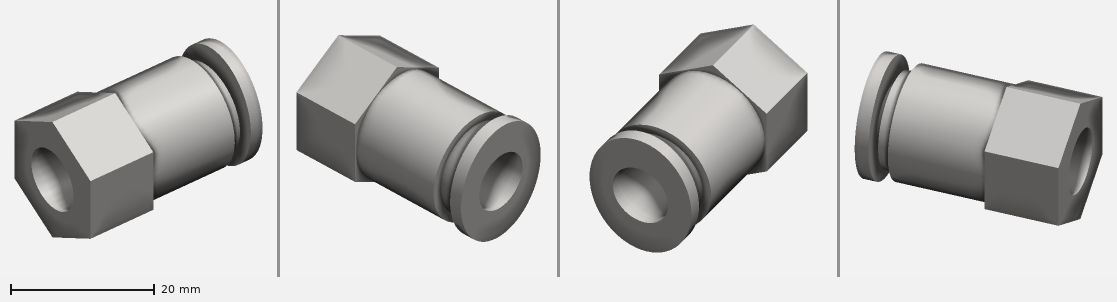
import cadquery as cq
import math

total_length = 30.5
hex_across_flats = 17.5
hex_length = 11.0
body_diameter = 17.0
body_end = 25.5
shoulder_diameter = 14.27
shoulder_end = 27.45
neck_diameter = 10.52
collar_thickness = 2.05
collar_width = 16.62
collar_height = 19.0
mouth_diameter = 9.7
bore_diameter = 9.05
taper_depth = 11.0

hex_across_corners = hex_across_flats / math.cos(math.pi / 6)
collar_start = total_length - collar_thickness


def section_plane(y):
    """Plane across the axis at y, with its normal along +Y and local x along +Z."""
    return cq.Workplane(cq.Plane(origin=(0, y, 0), xDir=(0, 0, 1), normal=(0, 1, 0)))


def cylinder(diameter, start, end):
    return section_plane(start).circle(diameter / 2).extrude(end - start)


def hexagon():
    """Hexagonal wrench section with two corners on the Z axis."""
    return section_plane(0).polygon(6, hex_across_corners).extrude(hex_length)


def release_collar():
    """Oval push ring, longer along Z than along X."""
    outline = section_plane(collar_start).ellipse(collar_height / 2, collar_width / 2)
    return outline.extrude(collar_thickness)


def through_bore():
    """Bore that narrows from the mouth in the hexagon, then runs straight to the collar."""
    profile = (
        cq.Workplane("XY")
        .lineTo(mouth_diameter / 2, 0)
        .lineTo(bore_diameter / 2, taper_depth)
        .lineTo(bore_diameter / 2, total_length)
        .lineTo(0, total_length)
        .close()
    )
    return profile.revolve(360, (0, 0, 0), (0, 1, 0))


result = (
    hexagon()
    .union(cylinder(body_diameter, hex_length, body_end))
    .union(cylinder(shoulder_diameter, body_end, shoulder_end))
    .union(cylinder(neck_diameter, shoulder_end, collar_start))
    .union(release_collar())
    .cut(through_bore())
)